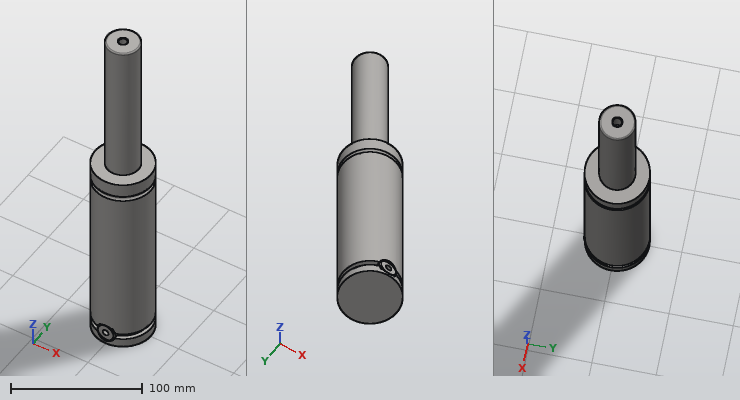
import cadquery as cq
import math

total_height = 298.0
body_diameter = 50.0
body_height = 170.2
rod_diameter = 28.0
rod_edge_round = 1.2

collar_height = 12.5
ring_groove_width = 4.2
ring_groove_depth = 1.8

base_groove_bottom = 8.0
base_groove_width = 5.0
base_groove_diameter = 42.5

port_diameter = 16.0
port_face_diameter = 14.0
port_face_recess = 0.45
port_hole_diameter = 5.0
port_hole_depth = 6.0
port_height = 10.7

rod_hole_diameter = 7.0
rod_hole_depth = 18.0
rod_hole_mouth_diameter = 8.0
drill_point_angle = 118.0

body_radius = body_diameter / 2
port_face_radius = body_radius - port_face_recess


def make_body():
    """Body of revolution with the rounded ring groove and the square base groove."""
    groove_radius = base_groove_diameter / 2
    base_groove_top = base_groove_bottom + base_groove_width
    ring_top = body_height - collar_height
    ring_bottom = ring_top - ring_groove_width
    ring_middle = (ring_top + ring_bottom) / 2
    return (
        cq.Workplane("XZ")
        .lineTo(body_radius, 0)
        .lineTo(body_radius, base_groove_bottom)
        .lineTo(groove_radius, base_groove_bottom)
        .lineTo(groove_radius, base_groove_top)
        .lineTo(body_radius, base_groove_top)
        .lineTo(body_radius, ring_bottom)
        .threePointArc((body_radius - ring_groove_depth, ring_middle), (body_radius, ring_top))
        .lineTo(body_radius, body_height)
        .lineTo(0, body_height)
        .close()
        .revolve(360, (0, 0, 0), (0, 1, 0))
    )


def make_rod():
    """Piston rod with a rounded end edge."""
    return (
        cq.Workplane("XY")
        .workplane(offset=body_height)
        .circle(rod_diameter / 2)
        .extrude(total_height - body_height)
        .faces(">Z").edges().fillet(rod_edge_round)
    )


def make_rod_hole():
    """Cutter for the blind drilled hole with a 45 degree countersunk mouth."""
    radius = rod_hole_diameter / 2
    mouth_radius = rod_hole_mouth_diameter / 2
    floor = total_height - rod_hole_depth
    tip_height = radius / math.tan(math.radians(drill_point_angle / 2))
    return (
        cq.Workplane("XZ")
        .moveTo(0, total_height)
        .lineTo(mouth_radius, total_height)
        .lineTo(radius, total_height - (mouth_radius - radius))
        .lineTo(radius, floor)
        .lineTo(0, floor - tip_height)
        .close()
        .revolve(360, (0, 0, 0), (0, 1, 0))
    )


def port_cylinder(diameter, length, start=0.0):
    """Cylinder along -Y at the port height, starting at the given distance from the body axis."""
    return (
        cq.Workplane("XZ", origin=(0, -start, port_height))
        .circle(diameter / 2)
        .extrude(length)
    )


def make_port_boss():
    """Round boss with a chamfered face, sunk slightly below the body radius."""
    face_chamfer = (port_diameter - port_face_diameter) / 2
    return port_cylinder(port_diameter, port_face_radius).faces("<Y").edges().chamfer(face_chamfer)


port_seat = port_cylinder(port_diameter, body_radius)
port_hole = port_cylinder(port_hole_diameter, port_hole_depth, port_face_radius - port_hole_depth)
body = make_body().cut(port_seat).union(make_port_boss())
result = body.union(make_rod()).cut(make_rod_hole()).cut(port_hole)